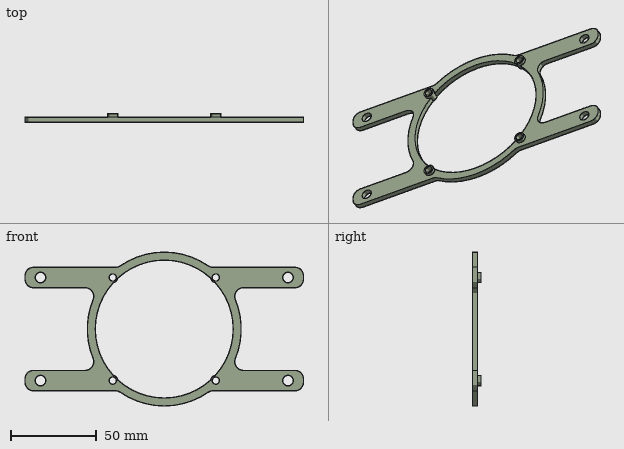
import cadquery as cq

length = 162.1
plate_thickness = 3.0
ring_outer_diameter = 89.6
ring_inner_diameter = 80.0

arm_width = 12.0
arm_spacing = 60.0
corner_radius = 5.0

arm_hole_diameter = 6.0
arm_hole_spacing = 144.0
pin_hole_diameter = 4.0
boss_diameter = 6.0
boss_height = 2.0
boss_length = plate_thickness + boss_height


def cylinders(diameter, depth, x_spacing):
    """Four cylinders along +Y, one on each arm centreline at each end of x_spacing."""
    return (
        cq.Workplane("XZ")
        .rarray(x_spacing, arm_spacing, 2, 2)
        .circle(diameter / 2)
        .extrude(-depth)
    )


def make_blank():
    """Solid disc merged with the two arms, with all outline corners rounded."""
    disc = cq.Workplane("XZ").circle(ring_outer_diameter / 2).extrude(-plate_thickness)
    arms = (
        cq.Workplane("XZ")
        .rarray(1.6, arm_spacing, 1, 2)
        .rect(length, arm_width)
        .extrude(-plate_thickness)
    )
    blank = disc.union(arms)
    inner_height = (arm_spacing - arm_width) / 2
    corners = blank.edges("|Y").filter(lambda edge: abs(edge.Center().z) > inner_height / 2)
    return corners.fillet(corner_radius)


bore = cq.Workplane("XZ").circle(ring_inner_diameter / 2).extrude(-plate_thickness)

result = (
    make_blank()
    .cut(bore)
    .union(cylinders(boss_diameter, boss_length, arm_spacing))
    .cut(cylinders(pin_hole_diameter, boss_length, arm_spacing))
    .cut(cylinders(arm_hole_diameter, plate_thickness, arm_hole_spacing))
)